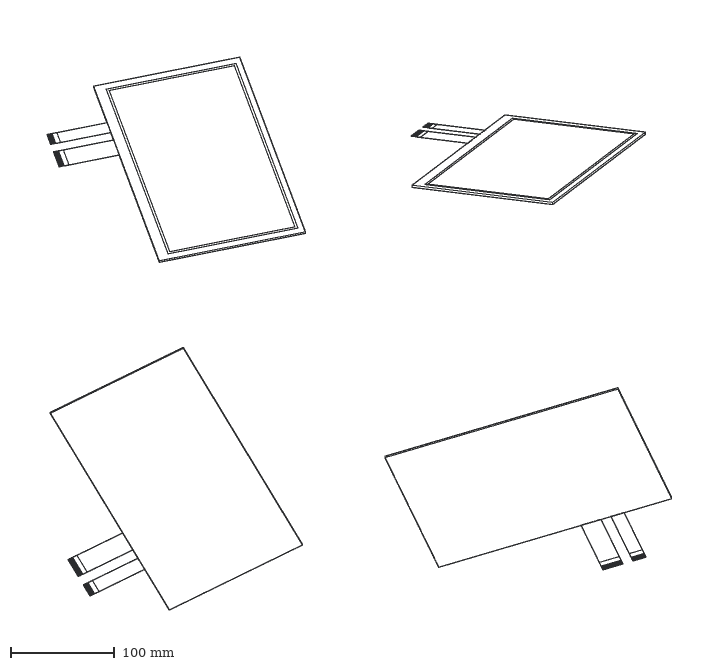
import cadquery as cq

PANEL_WIDTH = 240.2
PANEL_DEPTH = 146.0
PANEL_HEIGHT = 2.35

MARGIN_LEFT = 7.2
MARGIN_RIGHT = 6.7
MARGIN_FRONT = 10.5
MARGIN_BACK = 5.8
GROOVE_WIDTH = 2.5
GROOVE_DEPTH = 0.12

TAIL_LENGTH = 60.0
TAIL_THICKNESS = 0.34
TAIL_BOTTOM = 1.03
TAIL_OVERLAP = 2.5
NARROW_TAIL_LEFT = 49.2
NARROW_TAIL_PINS = 26
WIDE_TAIL_LEFT = 73.0
WIDE_TAIL_PINS = 40

STIFFENER_LENGTH = 9.8
STIFFENER_THICKNESS = 0.1
CONTACT_LENGTH = 5.0
CONTACT_PITCH = 0.5
CONTACT_WIDTH = CONTACT_PITCH / 2
CONTACT_HEIGHT = 0.05
CONTACT_RECESS = 0.2


def block(left, front, bottom, width, depth, height):
    """Box given by its lowest corner and its size."""
    return cq.Workplane("XY").box(width, depth, height, centered=False).translate((left, front, bottom))


def make_panel():
    """Plain plate with a closed rectangular groove in its top face."""
    outer_width = PANEL_WIDTH - MARGIN_LEFT - MARGIN_RIGHT
    outer_depth = PANEL_DEPTH - MARGIN_FRONT - MARGIN_BACK
    floor = PANEL_HEIGHT - GROOVE_DEPTH
    groove = block(MARGIN_LEFT, MARGIN_FRONT, floor, outer_width, outer_depth, GROOVE_DEPTH)
    active_area = block(
        MARGIN_LEFT + GROOVE_WIDTH,
        MARGIN_FRONT + GROOVE_WIDTH,
        floor,
        outer_width - 2 * GROOVE_WIDTH,
        outer_depth - 2 * GROOVE_WIDTH,
        GROOVE_DEPTH,
    )
    plate = block(0, 0, 0, PANEL_WIDTH, PANEL_DEPTH, PANEL_HEIGHT)
    return plate.cut(groove.cut(active_area))


def make_tail(left, pin_count):
    """Flat cable with a stiffened tip and a row of contacts under the tip."""
    width = CONTACT_PITCH * (pin_count + 1)
    tail = block(left, -TAIL_LENGTH, TAIL_BOTTOM, width, TAIL_LENGTH + TAIL_OVERLAP, TAIL_THICKNESS)
    tail_top = TAIL_BOTTOM + TAIL_THICKNESS
    tail = tail.union(
        block(left, -TAIL_LENGTH, tail_top, width, STIFFENER_LENGTH, STIFFENER_THICKNESS)
    )
    tail = tail.cut(block(left, -TAIL_LENGTH, TAIL_BOTTOM, width, CONTACT_LENGTH, CONTACT_RECESS))

    contact = block(
        left + CONTACT_PITCH - CONTACT_WIDTH / 2,
        -TAIL_LENGTH,
        TAIL_BOTTOM + CONTACT_RECESS - CONTACT_HEIGHT,
        CONTACT_WIDTH,
        CONTACT_LENGTH,
        CONTACT_HEIGHT,
    )
    contacts = [contact.val().translate((i * CONTACT_PITCH, 0, 0)) for i in range(pin_count)]
    return tail.union(cq.Workplane("XY").newObject(contacts))


result = make_panel()
result = result.union(make_tail(NARROW_TAIL_LEFT, NARROW_TAIL_PINS))
result = result.union(make_tail(WIDE_TAIL_LEFT, WIDE_TAIL_PINS))